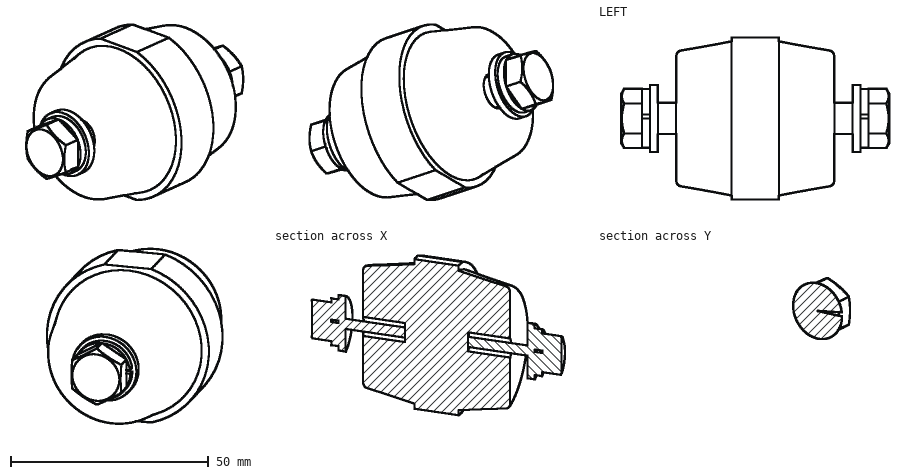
import cadquery as cq
import math

belt_diameter = 42.85
belt_width = 12.0
belt_across_flats = 41.0
drum_length = 40.0
drum_end_radius = 17.0
drum_root_radius = 19.5
drum_flare_sag = 0.1
end_rounding = 1.5
hole_diameter = 9.0

overall_length = 67.8
shank_diameter = 8.0
shank_length = 20.0
head_height = 5.3
head_across_flats = 13.0
head_face_diameter = 12.4
head_chamfer_angle = 30.0
washer_diameter = 17.0
washer_thickness = 2.05
lock_washer_diameter = 14.9
lock_washer_thickness = 2.0
split_width = 1.0

tip_y = overall_length / 2
head_seat_y = tip_y - head_height
lock_washer_seat_y = head_seat_y - lock_washer_thickness
washer_seat_y = lock_washer_seat_y - washer_thickness
shank_end_y = head_seat_y - shank_length


def plane_at(y):
    """Sketch plane facing +Y, with local x along -X and local y along Z."""
    return cq.Workplane("XZ", origin=(0, y, 0)).transformed(rotate=(0, 180, 0))


def disc(diameter, start_y, length):
    return plane_at(start_y).circle(diameter / 2).extrude(length)


def make_drum():
    """Two flared cones, back to back, with rounded end edges."""
    half_belt = belt_width / 2
    half_drum = drum_length / 2
    middle_radius = (drum_end_radius + drum_root_radius) / 2 - drum_flare_sag
    middle_y = (half_belt + half_drum) / 2
    profile = (
        cq.Workplane("XY")
        .moveTo(0, -half_drum)
        .lineTo(drum_end_radius, -half_drum)
        .threePointArc((middle_radius, -middle_y), (drum_root_radius, -half_belt))
        .lineTo(drum_root_radius, half_belt)
        .threePointArc((middle_radius, middle_y), (drum_end_radius, half_drum))
        .lineTo(0, half_drum)
        .close()
    )
    drum = profile.revolve(360, (0, 0, 0), (0, 1, 0))
    return drum.faces("<Y or >Y").edges().fillet(end_rounding)


def make_belt():
    belt = disc(belt_diameter, -belt_width / 2, belt_width)
    flats = cq.Workplane("XY").box(belt_diameter, belt_width, belt_across_flats)
    return belt.intersect(flats)


def make_insulator():
    insulator = make_drum().union(make_belt())
    hole_depth = drum_length / 2 - shank_end_y
    front_hole = disc(hole_diameter, shank_end_y, hole_depth)
    return insulator.cut(front_hole).cut(front_hole.mirror("XZ"))


def make_head():
    """Hexagon with corners along Z, trimmed by a cone at its outer face."""
    corner_radius = head_across_flats / math.sqrt(3)
    face_radius = head_face_diameter / 2
    chamfer_height = (corner_radius - face_radius) * math.tan(math.radians(head_chamfer_angle))
    hexagon = (
        plane_at(head_seat_y)
        .transformed(rotate=(0, 0, 90))
        .polygon(6, 2 * corner_radius)
        .extrude(head_height)
    )
    trim = (
        cq.Workplane("XY")
        .moveTo(0, head_seat_y)
        .lineTo(corner_radius, head_seat_y)
        .lineTo(corner_radius, tip_y - chamfer_height)
        .lineTo(face_radius, tip_y)
        .lineTo(0, tip_y)
        .close()
        .revolve(360, (0, 0, 0), (0, 1, 0))
    )
    return hexagon.intersect(trim)


def make_split():
    """Wedge open toward -X: a level lower face and a sloping upper face that meet on the axis."""
    outer_x = -lock_washer_diameter / 2
    return (
        cq.Workplane("XZ", origin=(0, head_seat_y, 0))
        .moveTo(0, 0)
        .lineTo(outer_x, 0)
        .lineTo(outer_x, split_width)
        .close()
        .extrude(lock_washer_thickness)
    )


def make_screw():
    shank = disc(shank_diameter, shank_end_y, shank_length)
    washer = disc(washer_diameter, washer_seat_y, washer_thickness)
    lock_washer = disc(lock_washer_diameter, lock_washer_seat_y, lock_washer_thickness)
    screw = shank.union(washer).union(lock_washer).union(make_head())
    return screw.cut(make_split())


insulator = make_insulator()

screws = []
for is_mirrored in (False, True):
    screw = make_screw()
    if is_mirrored:
        screw = screw.mirror("XZ")
    screws.append(screw.val())

result = cq.Compound.makeCompound([insulator.val(), *screws])